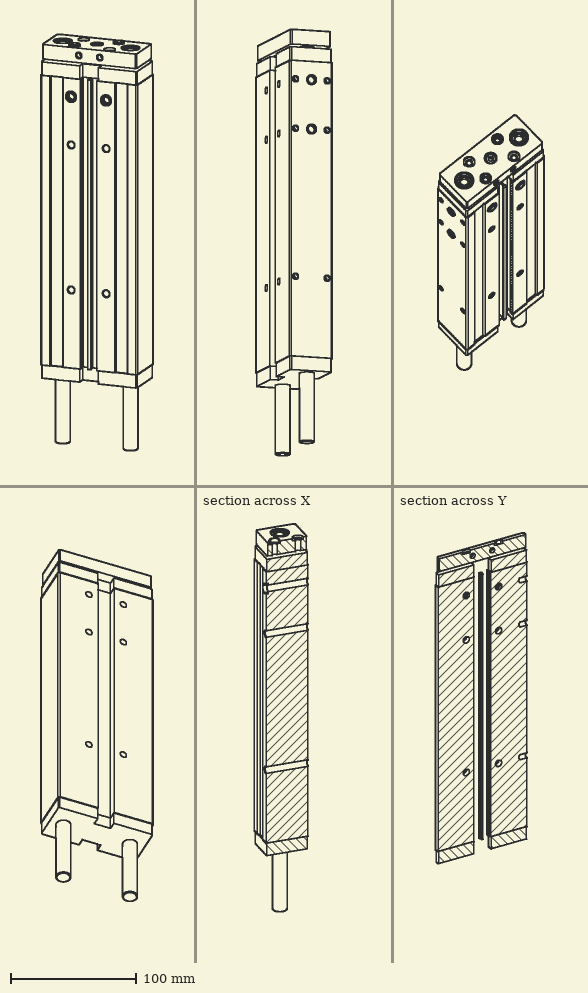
import cadquery as cq

TOWARD_X = cq.Vector(1, 0, 0)
TOWARD_Y = cq.Vector(0, 1, 0)
TOWARD_FRONT = cq.Vector(0, -1, 0)
UP = cq.Vector(0, 0, 1)
DOWN = cq.Vector(0, 0, -1)


TOTAL_HEIGHT = 333.8
ROD_END_Z = 0.0
BOTTOM_CAP_Z = 56.0
CAP_HEIGHT = 11.0
HOUSING_LENGTH = 240.0
HOUSING_Z = BOTTOM_CAP_Z + CAP_HEIGHT
TOP_CAP_Z = HOUSING_Z + HOUSING_LENGTH
BODY_TOP_Z = TOP_CAP_Z + CAP_HEIGHT
YOKE_HEIGHT = 12.0
PROTRUSION = 1.5
YOKE_TOP_Z = TOTAL_HEIGHT - PROTRUSION
YOKE_Z = YOKE_TOP_Z - YOKE_HEIGHT

HOUSING_WIDTH = 83.0
HOUSING_DEPTH = 36.5
CAP_WIDTH = 82.0
CAP_DEPTH = 35.0
YOKE_WIDTH = 80.8
YOKE_DEPTH = 33.7
HOUSING_CHAMFER = 1.5
CAP_CHAMFER = 1.0
SIDE_X = -HOUSING_WIDTH / 2
FRONT_Y = -HOUSING_DEPTH / 2
BACK_Y = HOUSING_DEPTH / 2

GROOVE_WIDTH = 14.0
CAP_GROOVE_WIDTH = 16.0
GROOVE_DEPTH = 7.5
RIB_WIDTH = 2.7
RIB_FRONT_INSET = 1.0
SLOT_LIP = 2.7
SLOT_UNDERCUT = 0.7

RECESS_X = 27.7
RECESS_MOUTH = 11.0
RECESS_FLOOR = 10.0
RECESS_DEPTH = 2.0

GUIDE_SPACING = 58.0
GUIDE_X = GUIDE_SPACING / 2
GUIDE_Y = -0.7
GUIDE_DIAMETER = 12.0
GUIDE_CHAMFER = 0.7
PISTON_ROD_DIAMETER = 8.0
PISTON_ROD_Y = 0.5
GUIDES = [(-GUIDE_X, GUIDE_Y), (GUIDE_X, GUIDE_Y)]

GUIDE_SCREW_MOUTH = 15.0
GUIDE_SCREW_BORE = 13.0
GUIDE_SCREW_HEAD = 10.0
GUIDE_SCREW_SOCKET = 7.0
PISTON_SCREW_MOUTH = 10.0
PISTON_SCREW_BORE = 9.0
PISTON_SCREW_HEAD = 7.7
PISTON_SCREW_SOCKET = 4.0
SCREW_BORE_DEPTH = 6.7
SCREW_HEAD_SINK = 1.5
SCREW_SOCKET_DEPTH = 3.5

HOLE_MOUTH = 6.5
HOLE_DIAMETER = 5.5
HOLE_X = 15.0
SLEEVE_DIAMETER = 9.0
SLEEVE_BORE = 6.5
SLEEVE_CHAMFER = 0.7
SLEEVE_SEAT = 2.0
YOKE_HOLE_MOUTH = 5.5
YOKE_HOLE_DIAMETER = 4.0
YOKE_HOLE_SPACING = 20.0
YOKE_HOLE_CENTRE_Y = -0.7
YOKE_FRONT_HOLE_X = 9.0
YOKE_FRONT_HOLE_DEPTH = 6.7
DRILL_TIP_SLOPE = 0.6
UPPER_HOLE_Z = 292.0
UPPER_HOLE_SPACING = 40.0
LOWER_HOLE_SPACING = 120.2
MIDDLE_HOLE_Z = UPPER_HOLE_Z - UPPER_HOLE_SPACING
LOWER_HOLE_Z = MIDDLE_HOLE_Z - LOWER_HOLE_SPACING
SIDE_HOLE_Y = 13.5
SIDE_HOLE_MOUTH = 5.0
SIDE_HOLE_DIAMETER = 4.0
SIDE_HOLE_DEPTH = 6.7
PLUG_DIAMETER = 7.7
PLUG_SOCKET = 6.5
PLUG_SEAT = 4.0
PLUG_SOCKET_DEPTH = 3.5

PLUG_HEIGHTS = [UPPER_HOLE_Z, MIDDLE_HOLE_Z]
HOLE_HEIGHTS = [UPPER_HOLE_Z, MIDDLE_HOLE_Z, LOWER_HOLE_Z]
YOKE_HOLE_ROWS = [YOKE_HOLE_CENTRE_Y + side * YOKE_HOLE_SPACING / 2 for side in (-1, 1)]
YOKE_HOLES = [(x, y) for x in (-HOLE_X, HOLE_X) for y in YOKE_HOLE_ROWS]
YOKE_SLEEVES = [(-HOLE_X, YOKE_HOLE_ROWS[0]), (HOLE_X, YOKE_HOLE_ROWS[1])]


def block(width, depth, height, z):
    return cq.Workplane("XY", origin=(0, 0, z)).rect(width, depth).extrude(height)


def rod(points, diameter, z, height):
    return cq.Workplane("XY", origin=(0, 0, z)).pushPoints(points).circle(diameter / 2).extrude(height)


def box_between(x0, x1, y0, y1, z, height):
    return block(x1 - x0, y1 - y0, height, z).translate(((x0 + x1) / 2, (y0 + y1) / 2, 0))


def pin(start, direction, diameter, length):
    return cq.Workplane(cq.Solid.makeCylinder(diameter / 2, length, cq.Vector(start), direction))


def cone(start, direction, start_diameter, end_diameter, length):
    return cq.Workplane(
        cq.Solid.makeCone(start_diameter / 2, end_diameter / 2, length, cq.Vector(start), direction)
    )


def chamfered_hole(start, direction, mouth, diameter, length):
    """Cutter for a hole whose mouth has a 45 degree chamfer."""
    hole = pin(start, direction, diameter, length)
    return hole.union(cone(start, direction, mouth, diameter, (mouth - diameter) / 2))


def drilled_hole(start, direction, mouth, diameter, depth):
    """Cutter for a blind hole with a chamfered mouth and a conical drill tip."""
    tip = cq.Vector(start) + direction * depth
    hole = chamfered_hole(start, direction, mouth, diameter, depth)
    return hole.union(cone(tip, direction, diameter, 0, DRILL_TIP_SLOPE * diameter / 2))


def make_sleeve(start, direction):
    """Centring sleeve that starts at its seat and stands out along the direction."""
    length = SLEEVE_SEAT + PROTRUSION
    straight = length - SLEEVE_CHAMFER
    rim = cq.Vector(start) + direction * straight
    sleeve = pin(start, direction, SLEEVE_DIAMETER, straight)
    sleeve = sleeve.union(
        cone(rim, direction, SLEEVE_DIAMETER, SLEEVE_DIAMETER - 2 * SLEEVE_CHAMFER, SLEEVE_CHAMFER)
    )
    return sleeve.cut(pin(start, direction, SLEEVE_BORE, length))


def cut_back_groove(body):
    side = GROOVE_WIDTH / 2
    length = BODY_TOP_Z - BOTTOM_CAP_Z
    return body.cut(box_between(-side, side, BACK_Y - GROOVE_DEPTH, BACK_Y, BOTTOM_CAP_Z, length))


def cut_sensor_slots(body):
    """Two undercut slots side by side, with a low rib left between them."""
    outer = GROOVE_WIDTH / 2
    inner = RIB_WIDTH / 2
    lip_y = FRONT_Y + SLOT_LIP
    floor_y = FRONT_Y + GROOVE_DEPTH
    for side in (-1, 1):
        x0, x1 = sorted((side * inner, side * outer))
        mouth = box_between(x0, x1, FRONT_Y, lip_y, HOUSING_Z, HOUSING_LENGTH)
        cavity = box_between(
            x0 - SLOT_UNDERCUT, x1 + SLOT_UNDERCUT, lip_y, floor_y, HOUSING_Z, HOUSING_LENGTH
        )
        body = body.cut(mouth).cut(cavity)
    rib_crest = box_between(-inner, inner, FRONT_Y, FRONT_Y + RIB_FRONT_INSET, HOUSING_Z, HOUSING_LENGTH)
    return body.cut(rib_crest)


def cut_front_recesses(body):
    for x in (-RECESS_X, RECESS_X):
        recess = (
            cq.Workplane("XY", origin=(x, FRONT_Y, HOUSING_Z))
            .moveTo(-RECESS_MOUTH / 2, 0)
            .lineTo(RECESS_MOUTH / 2, 0)
            .lineTo(RECESS_FLOOR / 2, RECESS_DEPTH)
            .lineTo(-RECESS_FLOOR / 2, RECESS_DEPTH)
            .close()
            .extrude(HOUSING_LENGTH)
        )
        body = body.cut(recess)
    return body


def cut_rod_bores(body):
    guide_bores = rod(GUIDES, GUIDE_DIAMETER, ROD_END_Z, YOKE_Z - ROD_END_Z)
    piston_bore = rod([(0, PISTON_ROD_Y)], PISTON_ROD_DIAMETER, HOUSING_Z, YOKE_Z - HOUSING_Z)
    return body.cut(guide_bores).cut(piston_bore)


def make_housing():
    body = block(HOUSING_WIDTH, HOUSING_DEPTH, HOUSING_LENGTH, HOUSING_Z).edges("|Z").chamfer(HOUSING_CHAMFER)
    body = cut_rod_bores(cut_front_recesses(cut_sensor_slots(cut_back_groove(body))))
    for x in (-HOLE_X, HOLE_X):
        for z in HOLE_HEIGHTS:
            body = body.cut(
                chamfered_hole((x, FRONT_Y, z), TOWARD_Y, HOLE_MOUTH, HOLE_DIAMETER, HOUSING_DEPTH)
            )
        body = body.cut(pin((x, FRONT_Y, UPPER_HOLE_Z), TOWARD_Y, SLEEVE_DIAMETER, SLEEVE_SEAT))
    for y in (-SIDE_HOLE_Y, SIDE_HOLE_Y):
        for z in HOLE_HEIGHTS:
            body = body.cut(
                drilled_hole((SIDE_X, y, z), TOWARD_X, SIDE_HOLE_MOUTH, SIDE_HOLE_DIAMETER, SIDE_HOLE_DEPTH)
            )
    for z in PLUG_HEIGHTS:
        body = body.cut(pin((SIDE_X, 0, z), TOWARD_X, PLUG_DIAMETER, PLUG_SEAT))
    return body


def make_cap(z):
    body = block(CAP_WIDTH, CAP_DEPTH, CAP_HEIGHT, z).edges("|Z").chamfer(CAP_CHAMFER)
    side = CAP_GROOVE_WIDTH / 2
    body = body.cut(box_between(-side, side, FRONT_Y, FRONT_Y + GROOVE_DEPTH, z, CAP_HEIGHT))
    return cut_rod_bores(cut_back_groove(body))


def add_sunk_screw(body, x, y, mouth, bore, head, socket):
    """Bore in the top of the yoke with a chamfered mouth and a socket-head screw inside."""
    floor_z = YOKE_TOP_Z - SCREW_BORE_DEPTH
    head_z = YOKE_TOP_Z - SCREW_HEAD_SINK
    body = body.cut(chamfered_hole((x, y, YOKE_TOP_Z), DOWN, mouth, bore, SCREW_BORE_DEPTH))
    body = body.union(pin((x, y, floor_z), UP, head, head_z - floor_z))
    return body.cut(pin((x, y, head_z), DOWN, socket, SCREW_SOCKET_DEPTH))


def cut_yoke_holes(body):
    seat_z = YOKE_TOP_Z - SLEEVE_SEAT
    for x, y in YOKE_HOLES:
        body = body.cut(pin((x, y, seat_z), UP, SLEEVE_DIAMETER, SLEEVE_SEAT))
        body = body.cut(
            chamfered_hole((x, y, seat_z), DOWN, YOKE_HOLE_MOUTH, YOKE_HOLE_DIAMETER, seat_z - YOKE_Z)
        )
    front_y = -YOKE_DEPTH / 2
    middle_z = YOKE_Z + YOKE_HEIGHT / 2
    for x in (-YOKE_FRONT_HOLE_X, YOKE_FRONT_HOLE_X):
        hole = drilled_hole(
            (x, front_y, middle_z), TOWARD_Y, YOKE_HOLE_MOUTH, YOKE_HOLE_DIAMETER, YOKE_FRONT_HOLE_DEPTH
        )
        body = body.cut(hole)
    return body


def make_yoke():
    """Moving part: the yoke with its two guide rods and the piston rod."""
    body = block(YOKE_WIDTH, YOKE_DEPTH, YOKE_HEIGHT, YOKE_Z).edges("|Z").chamfer(CAP_CHAMFER)
    guides = rod(GUIDES, GUIDE_DIAMETER, ROD_END_Z, YOKE_Z - ROD_END_Z)
    guides = guides.faces("<Z").chamfer(GUIDE_CHAMFER)
    piston_rod = rod([(0, PISTON_ROD_Y)], PISTON_ROD_DIAMETER, HOUSING_Z, YOKE_Z - HOUSING_Z)
    body = body.union(guides).union(piston_rod)
    for x, y in GUIDES:
        body = add_sunk_screw(
            body, x, y, GUIDE_SCREW_MOUTH, GUIDE_SCREW_BORE, GUIDE_SCREW_HEAD, GUIDE_SCREW_SOCKET
        )
    body = add_sunk_screw(
        body, 0, PISTON_ROD_Y, PISTON_SCREW_MOUTH, PISTON_SCREW_BORE, PISTON_SCREW_HEAD, PISTON_SCREW_SOCKET
    )
    return cut_yoke_holes(body)


def make_plug(z):
    start = (SIDE_X - PROTRUSION, 0, z)
    plug = pin(start, TOWARD_X, PLUG_DIAMETER, PLUG_SEAT + PROTRUSION)
    return plug.cut(pin(start, TOWARD_X, PLUG_SOCKET, PLUG_SOCKET_DEPTH))


housing = make_housing()
caps = [make_cap(z) for z in (BOTTOM_CAP_Z, TOP_CAP_Z)]
yoke = make_yoke()
yoke_sleeves = [make_sleeve((x, y, YOKE_TOP_Z - SLEEVE_SEAT), UP) for x, y in YOKE_SLEEVES]
front_sleeves = [
    make_sleeve((x, FRONT_Y + SLEEVE_SEAT, UPPER_HOLE_Z), TOWARD_FRONT) for x in (-HOLE_X, HOLE_X)
]
plugs = [make_plug(z) for z in PLUG_HEIGHTS]

bodies = [housing, *caps, yoke, *yoke_sleeves, *front_sleeves, *plugs]
result = cq.Compound.makeCompound([body.val() for body in bodies])